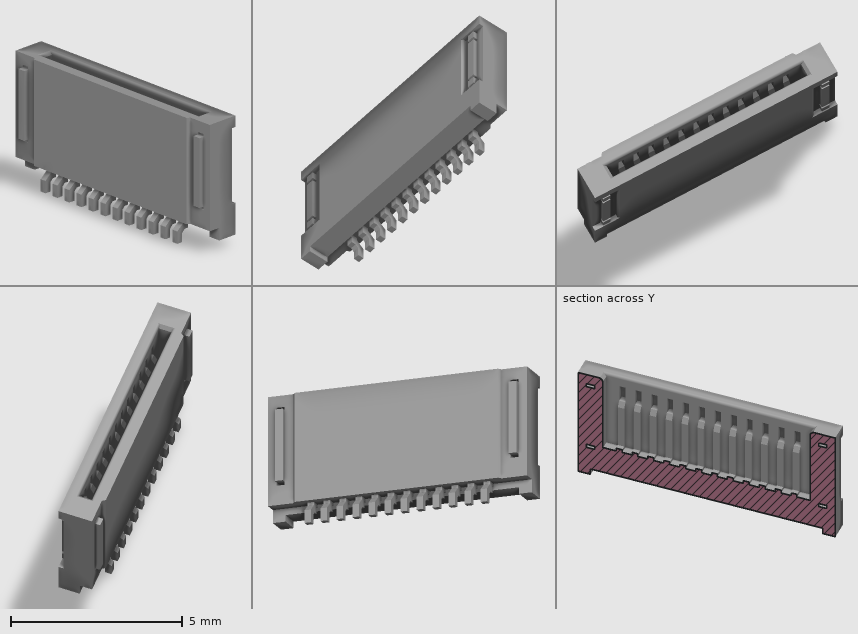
import cadquery as cq
import math


width = 8.1
side_depth = 1.05
front_limit = 1.2
panel_rise = 0.1
panel_half_width = 3.18
panel_bevel = 0.07
panel_height = 3.35
ledge_depth = 0.66
ledge_height = 3.55
foot_width = 0.4
foot_height = 3.75

mouth_half_width = 3.25
mouth_back = 0.35
mouth_front = 0.75
mouth_depth = 2.6
lead_in = 0.08
end_bevel = 0.1

contact_count = 12
pitch = 0.5
contact_width = 0.2
groove_top = 0.35
groove_depth = 0.2
fork_top = 0.9
fork_slope_angle = 60
fork_arm = 0.1
fork_base = 2.5

tail_length = 4.05
tail_thickness = 0.2
shoulder_back = 0.76
shoulder_front = 0.95
shoulder_height = 3.45
bend_height = 3.66
inner_bend = 0.1

slot_width = 0.25
slot_edge = 0.27
slot_top = 0.36
slot_height = 2.39
fitting_height = 2.2
notch_height = 0.1
notch_offset = 0.24
pocket_depth = 0.15
pocket_wall = 3.27
pocket_bevel = 0.05

half_width = width / 2
panel_front = side_depth + panel_rise
slot_x = half_width - slot_edge - slot_width / 2
slot_mid = -slot_top - slot_height / 2


def block(x_min, x_max, depth_min, depth_max, z_min, z_max):
    """Box given by its X range, its distances from the back face and its Z range."""
    size = (x_max - x_min, depth_max - depth_min, z_max - z_min)
    return cq.Workplane("XY").box(*size, centered=False).translate((x_min, -depth_max, z_min))


def prism_along_x(points, x_min, x_max):
    """Extrude a (Y, Z) outline from x_min to x_max."""
    outline = cq.Workplane("YZ", origin=(x_min, 0, 0)).polyline(points).close()
    return outline.extrude(x_max - x_min)


def make_housing():
    """Body with a raised front panel, a lower ledge at the back and a foot at each end."""
    bevel_x = panel_half_width + panel_bevel
    footprint = [
        (-half_width, 0),
        (-half_width, -side_depth),
        (-bevel_x, -side_depth),
        (-panel_half_width, -panel_front),
        (panel_half_width, -panel_front),
        (bevel_x, -side_depth),
        (half_width, -side_depth),
        (half_width, 0),
    ]
    housing = cq.Workplane("XY").polyline(footprint).close().extrude(-panel_height)
    housing = housing.union(block(-half_width, half_width, 0, ledge_depth, -ledge_height, 0))
    for x_min in (-half_width, half_width - foot_width):
        foot = block(x_min, x_min + foot_width, 0, ledge_depth, -foot_height, 0)
        housing = housing.union(foot)
    return housing


def make_mouth():
    """Cavity with rounded long edges and bevelled short ends."""
    curve = lead_in * (1 - math.cos(math.radians(45)))
    section = (
        cq.Workplane("YZ", origin=(-half_width, 0, 0))
        .moveTo(-mouth_front - lead_in, 0)
        .threePointArc((-mouth_front - curve, -curve), (-mouth_front, -lead_in))
        .lineTo(-mouth_front, -mouth_depth)
        .lineTo(-mouth_back, -mouth_depth)
        .lineTo(-mouth_back, -lead_in)
        .threePointArc((-mouth_back + curve, -curve), (-mouth_back + lead_in, 0))
        .close()
        .extrude(width)
    )
    front_outline = [
        (-mouth_half_width - end_bevel, 0),
        (-mouth_half_width, -end_bevel),
        (-mouth_half_width, -mouth_depth),
        (mouth_half_width, -mouth_depth),
        (mouth_half_width, -end_bevel),
        (mouth_half_width + end_bevel, 0),
    ]
    ends = cq.Workplane("XZ").polyline(front_outline).close().extrude(side_depth)
    return section.intersect(ends)


def make_groove(x):
    """Clearance for one contact, cut into both long walls of the mouth."""
    x_min = x - contact_width / 2
    depth_min = mouth_back - groove_depth
    depth_max = mouth_front + groove_depth
    return block(x_min, x_min + contact_width, depth_min, depth_max, -mouth_depth, -groove_top)


def make_contact(x):
    """Fork filling the lower part of its groove, and the bent solder tail of the same contact."""
    slope_height = fork_arm * math.tan(math.radians(fork_slope_angle))
    fork = [
        (-mouth_back + groove_depth, -fork_top),
        (-mouth_back, -fork_top),
        (-mouth_back - fork_arm, -fork_top - slope_height),
        (-mouth_back - fork_arm, -fork_base),
        (-mouth_front + fork_arm, -fork_base),
        (-mouth_front + fork_arm, -fork_top - slope_height),
        (-mouth_front, -fork_top),
        (-mouth_front - groove_depth, -fork_top),
        (-mouth_front - groove_depth, -mouth_depth),
        (-mouth_back + groove_depth, -mouth_depth),
    ]
    tail_back = front_limit - tail_thickness
    tail = [
        (-ledge_depth, -panel_height),
        (-ledge_depth, -shoulder_height),
        (-shoulder_back, -shoulder_height),
        (-shoulder_back, -bend_height),
        (-tail_back + inner_bend, -bend_height),
        (-tail_back, -bend_height - inner_bend),
        (-tail_back, -tail_length),
        (-front_limit, -tail_length),
        (-front_limit, -bend_height),
        (-shoulder_front, -shoulder_height),
        (-shoulder_front, -panel_height),
    ]
    x_min = x - contact_width / 2
    x_max = x + contact_width / 2
    return prism_along_x(fork, x_min, x_max).union(prism_along_x(tail, x_min, x_max))


def make_pocket(side):
    """Side pocket in the back face plus the slot that runs through to the front."""
    outline = [
        (side * half_width, 0),
        (side * half_width, -pocket_depth),
        (side * pocket_wall, -pocket_depth),
        (side * pocket_wall, -pocket_bevel),
        (side * (pocket_wall - pocket_bevel), 0),
    ]
    plane = cq.Workplane("XY", origin=(0, 0, -slot_top))
    pocket = plane.polyline(outline).close().extrude(-slot_height)
    x_min = side * slot_x - slot_width / 2
    slot = block(x_min, x_min + slot_width, 0, side_depth, -slot_top - slot_height, -slot_top)
    return pocket.union(slot)


def make_fitting(side):
    """Upright bar filling the slot's width, notched twice at the back."""
    x_min = side * slot_x - slot_width / 2
    x_max = x_min + slot_width
    half_height = fitting_height / 2
    fitting = block(x_min, x_max, 0, front_limit, slot_mid - half_height, slot_mid + half_height)
    notch_distance = half_height - notch_offset - notch_height / 2
    for notch_z in (slot_mid - notch_distance, slot_mid + notch_distance):
        z_min = notch_z - notch_height / 2
        fitting = fitting.cut(block(x_min, x_max, 0, pocket_depth, z_min, z_min + notch_height))
    return fitting


result = make_housing().cut(make_mouth())
for side in (-1, 1):
    result = result.cut(make_pocket(side)).union(make_fitting(side))
for index in range(contact_count):
    contact_x = (index - (contact_count - 1) / 2) * pitch
    result = result.cut(make_groove(contact_x)).union(make_contact(contact_x))